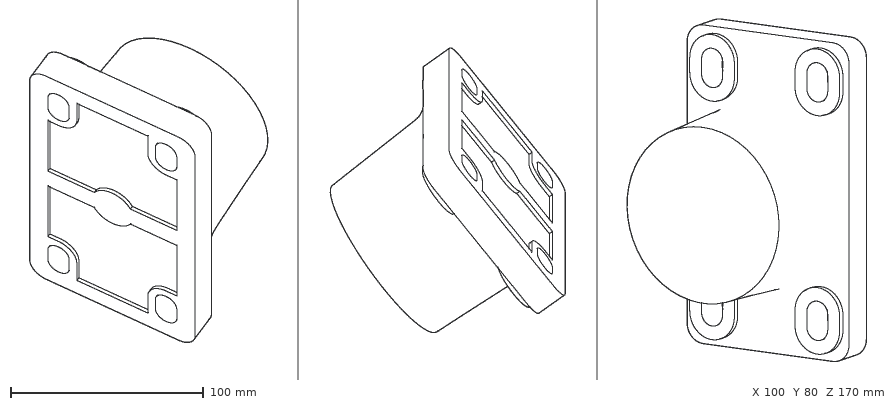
import cadquery as cq

plate_width = 100.0
plate_height = 170.0
plate_thickness = 17.0
plate_corner_radius = 10.0

total_depth = 80.0
boss_end_radius = 47.0
boss_root_clearance = 0.02
boss_root_radius = plate_width / 2 - boss_root_clearance
root_fillet_radius = 10.0

slot_x = 32.5
slot_z = 63.5
slot_width = 13.0
slot_travel = 8.0
slot_length = slot_travel + slot_width
slot_centers = [(side * slot_x, level * slot_z) for side in (-1, 1) for level in (-1, 1)]

pad_radius = 13.8
pad_height = 3.2
pad_length = slot_travel + 2 * pad_radius

recess_depth = 2.0
recess_width = 2 * slot_x + slot_width
recess_height = 2 * slot_z + slot_length

slot_border_radius = 11.0
corner_block_width = slot_width / 2 + slot_border_radius
corner_block_height = slot_length / 2 + slot_travel / 2 + slot_border_radius
cross_bar_height = 12.5
hub_radius = 12.5


def plane_at(depth):
    """Workplane parallel to the plate at Y = depth; negative extrusions go towards +Y."""
    return cq.Workplane("XZ", origin=(0, depth, 0))


def upright_slots(base_depth, length, width, height):
    """Solid slot shapes at the four slot centers, from Y = base_depth towards +Y."""
    return plane_at(base_depth).pushPoints(slot_centers).slot2D(length, width, 90).extrude(-height)


def make_plate():
    plate = plane_at(0).rect(plate_width, plate_height).extrude(-plate_thickness)
    return plate.edges("|Y").fillet(plate_corner_radius)


def make_boss():
    half_profile = [
        (plate_thickness, 0),
        (plate_thickness, boss_root_radius),
        (total_depth, boss_end_radius),
        (total_depth, 0),
    ]
    return cq.Workplane("YZ").polyline(half_profile).close().revolve(360, (0, 0), (1, 0))


def fillet_boss_root(body):
    """Round the corner between the boss and the back face of the plate."""
    root_circle = body.edges("%CIRCLE").edges(cq.selectors.RadiusNthSelector(-1))
    return root_circle.fillet(root_fillet_radius)


def make_recesses():
    """Both front recesses: one rectangle minus the areas that stay level with the front face.

    Each corner block is centered on a recess corner, so only its inner quarter counts.
    """
    recesses = plane_at(0).rect(recess_width, recess_height).extrude(-recess_depth)
    cross_bar = plane_at(0).rect(recess_width, cross_bar_height).extrude(-recess_depth)
    hub = plane_at(0).circle(hub_radius).extrude(-recess_depth)
    corner_blocks = (
        plane_at(0)
        .rect(recess_width, recess_height, forConstruction=True)
        .vertices()
        .rect(2 * corner_block_width, 2 * corner_block_height)
        .extrude(-recess_depth)
        .edges("|Y")
        .fillet(slot_border_radius)
    )
    return recesses.cut(cross_bar).cut(hub).cut(corner_blocks)


pads = upright_slots(plate_thickness, pad_length, 2 * pad_radius, pad_height)
slots = upright_slots(0, slot_length, slot_width, total_depth)

body = fillet_boss_root(make_plate().union(make_boss()))
result = body.union(pads).cut(slots).cut(make_recesses())